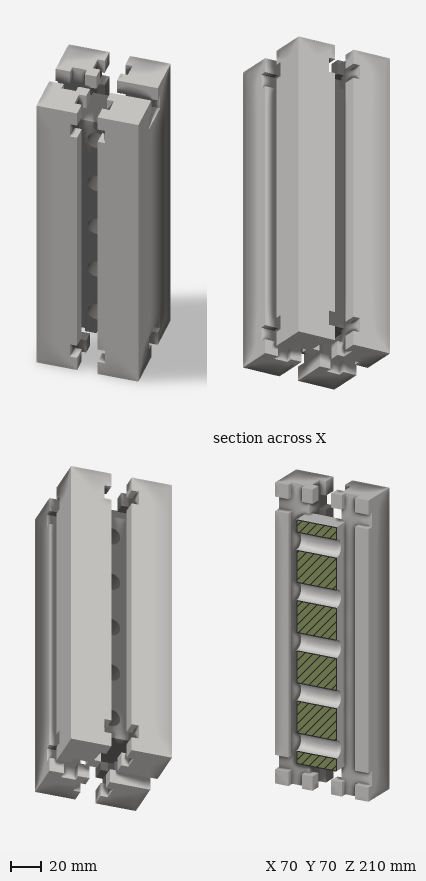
import cadquery as cq

length = 210.0
side = length / 3

neck_width = 14.0
head_width = 24.0
slot_depth = 20.0
lip_thickness = slot_depth / 2

hole_diameter = 12.4
hole_count = 5
hole_pitch = side / 2


def t_slot(plane, run):
    """T-slot cutter: mouth at the plane origin, deepening along -y of the plane, running both ways."""
    neck = cq.Workplane(plane).center(0, -slot_depth / 2).rect(neck_width, slot_depth)
    head_height = slot_depth - lip_thickness
    head = cq.Workplane(plane).center(0, -lip_thickness - head_height / 2).rect(head_width, head_height)
    return neck.extrude(run / 2, both=True).union(head.extrude(run / 2, both=True))


def slot_plane(mouth, outward, along):
    """Plane whose y axis is the outward direction and whose normal runs along the slot."""
    across = cq.Vector(*outward).cross(cq.Vector(*along))
    return cq.Plane(origin=mouth, xDir=across, normal=along)


bar = cq.Workplane("XY").box(side, side, length)

for x, y in [(-1, 0), (0, -1), (0, 1)]:
    mouth = (x * side / 2, y * side / 2, 0)
    bar = bar.cut(t_slot(slot_plane(mouth, (x, y, 0), (0, 0, 1)), length))

for z in (-1, 1):
    for along in [(1, 0, 0), (0, 1, 0)]:
        mouth = (0, 0, z * length / 2)
        bar = bar.cut(t_slot(slot_plane(mouth, (0, 0, z), along), side))

holes = (
    cq.Workplane("XZ")
    .rarray(2, hole_pitch, 1, hole_count)
    .circle(hole_diameter / 2)
    .extrude(side / 2, both=True)
)

result = bar.cut(holes)